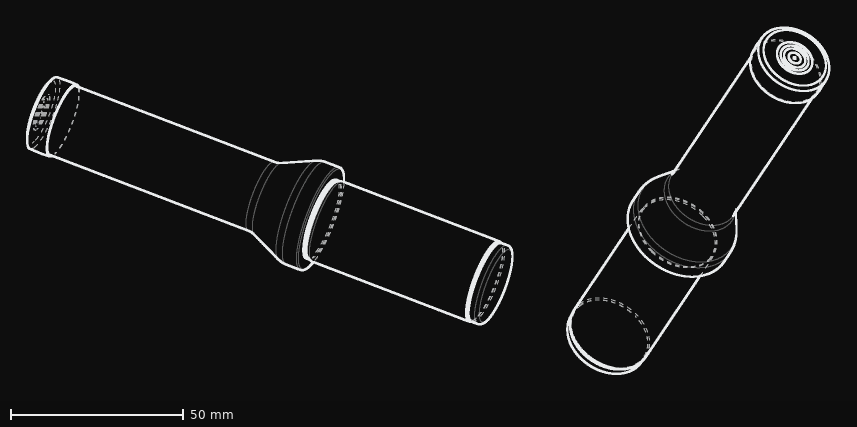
import cadquery as cq
import math

LENGTH = 146.0

TIP_LENGTH = 7.0
TIP_CREST_DIAMETER = 22.6
TIP_RIM_DIAMETER = 22.3
TIP_FACE_DIAMETER = 19.5
TIP_EDGE_LENGTH = 0.7

FACE_GROOVES = [(3.8, 6.7), (8.8, 11.1)]
FACE_GROOVE_DEPTH = 0.1
CENTRE_MARK_DIAMETER = 0.6

SHAFT_DIAMETER = 21.5
COLLAR_DIAMETER = 32.0
FLARE_START_X = 70.8
FLARE_END_X = 85.0
FLARE_BLEND_RADIUS = 5.5
COLLAR_END_X = 90.0
COLLAR_FILLET = 0.5

GRIP_DIAMETER = 25.0
STEP_DIAMETER = 24.5
NECK_END_X = 91.3
GRIP_CHAMFER_LENGTH = 0.7
GRIP_END_X = 143.1
GROOVE_DIAMETER = 24.0
GROOVE_FLANK_LENGTH = 0.5
END_FILLET = 1.0


def turn(profile):
    """Turn a closed half profile, drawn in XY, about the X axis."""
    return profile.close().revolve(360, (0, 0, 0), (1, 0, 0))


def make_tip():
    blank = turn(
        cq.Workplane("XY")
        .moveTo(0, 0)
        .lineTo(0, TIP_FACE_DIAMETER / 2)
        .lineTo(TIP_EDGE_LENGTH, TIP_RIM_DIAMETER / 2)
        .threePointArc(
            ((TIP_EDGE_LENGTH + TIP_LENGTH) / 2, TIP_CREST_DIAMETER / 2),
            (TIP_LENGTH, TIP_RIM_DIAMETER / 2),
        )
        .lineTo(TIP_LENGTH, 0)
    )
    return cut_face_marks(blank)


def cut_face_marks(tip_blank):
    face = cq.Workplane("YZ")
    marked = tip_blank.cut(face.circle(CENTRE_MARK_DIAMETER / 2).extrude(FACE_GROOVE_DEPTH))
    for inner_diameter, outer_diameter in FACE_GROOVES:
        ring = face.circle(outer_diameter / 2).circle(inner_diameter / 2)
        marked = marked.cut(ring.extrude(FACE_GROOVE_DEPTH))
    return marked


def flare_angle():
    """Angle at which a cone is tangent to the blend arcs at both of its ends."""
    run = FLARE_END_X - FLARE_START_X
    rise = (COLLAR_DIAMETER - SHAFT_DIAMETER) / 2
    centre_rise = rise - 2 * FLARE_BLEND_RADIUS
    centre_distance = math.hypot(run, centre_rise)
    return math.asin(2 * FLARE_BLEND_RADIUS / centre_distance) + math.atan2(centre_rise, run)


def make_holder():
    shaft_radius = SHAFT_DIAMETER / 2
    collar_radius = COLLAR_DIAMETER / 2
    grip_radius = GRIP_DIAMETER / 2
    step_radius = STEP_DIAMETER / 2
    groove_radius = GROOVE_DIAMETER / 2

    angle = flare_angle()
    blend_length = FLARE_BLEND_RADIUS * math.sin(angle)
    blend_rise = FLARE_BLEND_RADIUS * (1 - math.cos(angle))
    half_blend_length = FLARE_BLEND_RADIUS * math.sin(angle / 2)
    half_blend_rise = FLARE_BLEND_RADIUS * (1 - math.cos(angle / 2))

    return turn(
        cq.Workplane("XY")
        .moveTo(TIP_LENGTH, 0)
        .lineTo(TIP_LENGTH, shaft_radius)
        .lineTo(FLARE_START_X, shaft_radius)
        .threePointArc(
            (FLARE_START_X + half_blend_length, shaft_radius + half_blend_rise),
            (FLARE_START_X + blend_length, shaft_radius + blend_rise),
        )
        .lineTo(FLARE_END_X - blend_length, collar_radius - blend_rise)
        .threePointArc(
            (FLARE_END_X - half_blend_length, collar_radius - half_blend_rise),
            (FLARE_END_X, collar_radius),
        )
        .lineTo(COLLAR_END_X - COLLAR_FILLET, collar_radius)
        .radiusArc((COLLAR_END_X, collar_radius - COLLAR_FILLET), COLLAR_FILLET)
        .lineTo(COLLAR_END_X, step_radius)
        .lineTo(NECK_END_X - 2 * GROOVE_FLANK_LENGTH, step_radius)
        .lineTo(NECK_END_X - GROOVE_FLANK_LENGTH, groove_radius)
        .lineTo(NECK_END_X, step_radius)
        .lineTo(NECK_END_X + GRIP_CHAMFER_LENGTH, grip_radius)
        .lineTo(GRIP_END_X - GRIP_CHAMFER_LENGTH, grip_radius)
        .lineTo(GRIP_END_X - GROOVE_FLANK_LENGTH, groove_radius)
        .lineTo(GRIP_END_X, step_radius)
        .lineTo(LENGTH - END_FILLET, step_radius)
        .radiusArc((LENGTH, step_radius - END_FILLET), END_FILLET)
        .lineTo(LENGTH, 0)
    )


tip = make_tip()
holder = make_holder()
result = cq.Compound.makeCompound([tip.val(), holder.val()])